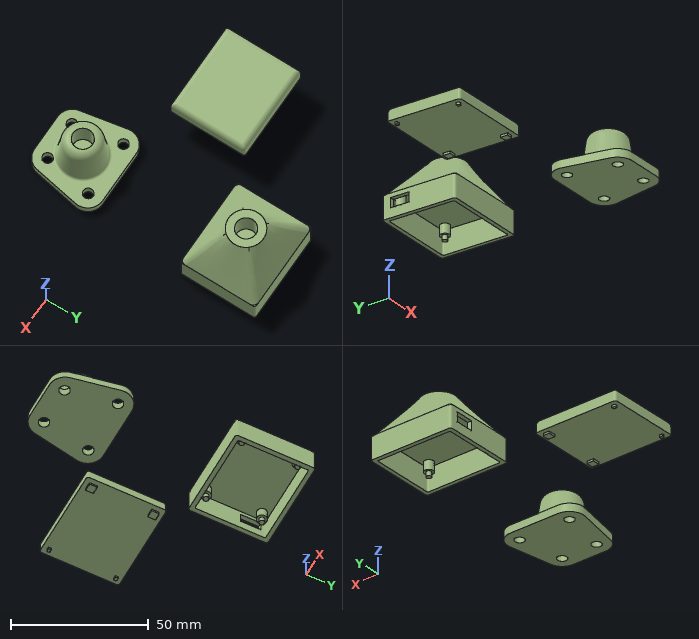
import cadquery as cq
import math


case_x = 37.7
case_y = 32.6
corner_radius = 1.0
wall = 1.9
bore_diameter = 8.4
bore_depth = 10.3

wall_height = 10.1
hood_height = 15.2
hood_top_diameter = 15.1
hip_radius = 3.1
cavity_corner_radius = 0.6
window_width = 8.3
window_height = 4.1
window_sill = 4.1
window_inset = 3.7
post_diameter = 4.0
post_length = 4.1
post_inset = 4.9
pin_diameter = 2.2
pin_length = 2.1

cover_x = -47.9
cover_y = -36.0
cover_height = 5.7
cover_top_radius = 2.2
foot_height = 0.9
foot_gap = 2.0
foot_corner_radius = 0.6
large_foot = (3.1, 3.2)
small_foot = (1.4, 1.2)

base_y = -71.0
flange_bottom = -11.1
flange_thickness = 3.5
flange_back_width = 38.0
flange_front_width = 26.0
flange_depth = 32.0
flange_corner_radius = 6.5
hole_diameter = 4.1
hole_pitch_back = 23.3
hole_pitch_front = 16.1
hole_pitch_y = 20.0
stem_height = 14.7
stem_foot_diameter = 19.6
stem_top_diameter = 15.3
stem_top_radius = 3.5
stem_foot_radius = 1.0

SIDES = (-1, 1)


def hood_blank():
    """Ruled transition from the sharp-cornered rectangle to the round top, with rounded hips."""
    half_x = case_x / 2
    half_y = case_y / 2
    corners = [(half_x, half_y), (-half_x, half_y), (-half_x, -half_y), (half_x, -half_y)]
    rectangle = cq.Wire.makePolygon([cq.Vector(x, y, 0) for x, y in corners], close=True)

    top_radius = hood_top_diameter / 2
    joint = math.atan2(half_y, half_x)
    joint_angles = [joint, math.pi - joint, math.pi + joint, 2 * math.pi - joint, 2 * math.pi + joint]

    def on_top(angle):
        return cq.Vector(top_radius * math.cos(angle), top_radius * math.sin(angle), hood_height)

    arcs = []
    for start, end in zip(joint_angles, joint_angles[1:]):
        arcs.append(cq.Edge.makeThreePointArc(on_top(start), on_top((start + end) / 2), on_top(end)))
    return cq.Workplane(cq.Solid.makeLoft([rectangle, cq.Wire.assembleEdges(arcs)], True))


def cylinder(diameter, bottom, top, x=0, y=0):
    return cq.Workplane().circle(diameter / 2).extrude(top - bottom).translate((x, y, bottom))


def make_housing():
    """Open-bottomed case with a hood, a blind bore, a side window and four board posts."""
    box = cq.Workplane().box(case_x, case_y, wall_height, centered=(True, True, False))
    box = box.edges("|Z").fillet(corner_radius).translate((0, 0, -wall_height))
    hood = hood_blank()
    hips = hood.edges("not(#Z or <Z or >Z)")
    housing = box.union(hips.fillet(hip_radius))

    cavity = cq.Workplane().box(
        case_x - 2 * wall, case_y - 2 * wall, wall_height, centered=(True, True, False)
    )
    cavity = cavity.edges("|Z").fillet(cavity_corner_radius).translate((0, 0, -wall_height))
    housing = housing.cut(cavity).cut(cylinder(bore_diameter, hood_height - bore_depth, hood_height))

    window = cq.Workplane().box(2 * wall, window_width, window_height).translate((
        -case_x / 2,
        case_y / 2 - window_inset - window_width / 2,
        -wall_height + window_sill + window_height / 2,
    ))
    housing = housing.cut(window)

    for side_x in SIDES:
        for side_y in SIDES:
            x = side_x * (case_x / 2 - post_inset)
            y = side_y * (case_y / 2 - post_inset)
            housing = housing.union(cylinder(post_diameter, -post_length, 0, x, y))
            housing = housing.union(cylinder(pin_diameter, -post_length - pin_length, -post_length, x, y))
    return housing


def cover_foot(size, side_x, side_y):
    """Block under the cover near one corner, rounded at its outer corner."""
    length, width = size
    foot = cq.Workplane().box(length, width, foot_height)
    outer_corner = cq.selectors.NearestToPointSelector((side_x * length, side_y * width, 0))
    foot = foot.edges("|Z").edges(outer_corner).fillet(foot_corner_radius)
    return foot.translate((
        side_x * (case_x / 2 - foot_gap - length / 2),
        side_y * (case_y / 2 - foot_gap - width / 2),
        -foot_height / 2,
    ))


def make_cover():
    """Flat lid with a rounded top edge and four locating feet."""
    cover = cq.Workplane().box(case_x, case_y, cover_height, centered=(True, True, False))
    cover = cover.edges(">Z").fillet(cover_top_radius)
    cover = cover.edges("|Z").fillet(corner_radius)
    for side_y in SIDES:
        cover = cover.union(cover_foot(small_foot, -1, side_y))
        cover = cover.union(cover_foot(large_foot, 1, side_y))
    return cover.translate((cover_x, cover_y, 0))


def make_base():
    """Screw-down flange carrying a tapered stem with a blind bore."""
    back_x = flange_back_width / 2
    front_x = flange_front_width / 2
    half_y = flange_depth / 2
    flange = cq.Workplane().polyline(
        [(-front_x, -half_y), (front_x, -half_y), (back_x, half_y), (-back_x, half_y)]
    ).close().extrude(flange_thickness)
    flange = flange.edges("|Z").fillet(flange_corner_radius)

    stem_top = flange_thickness + stem_height
    stem = (
        cq.Workplane("XZ")
        .moveTo(0, 0)
        .lineTo(stem_foot_diameter / 2, 0)
        .lineTo(stem_foot_diameter / 2, flange_thickness)
        .lineTo(stem_top_diameter / 2, stem_top)
        .lineTo(0, stem_top)
        .close()
        .revolve(360, (0, 0, 0), (0, 1, 0))
    )
    stem = stem.faces(">Z").edges().fillet(stem_top_radius)
    base = flange.union(stem)
    base = base.edges("%CIRCLE").edges(cq.selectors.RadiusNthSelector(-1)).fillet(stem_foot_radius)
    base = base.cut(cylinder(bore_diameter, stem_top - bore_depth, stem_top))
    for side in SIDES:
        for pitch_x, y in ((hole_pitch_front, -hole_pitch_y / 2), (hole_pitch_back, hole_pitch_y / 2)):
            base = base.cut(cylinder(hole_diameter, 0, flange_thickness, side * pitch_x / 2, y))
    return base.translate((0, base_y, flange_bottom))


housing = make_housing()
cover = make_cover()
base = make_base()
result = cq.Compound.makeCompound([housing.val(), cover.val(), base.val()])